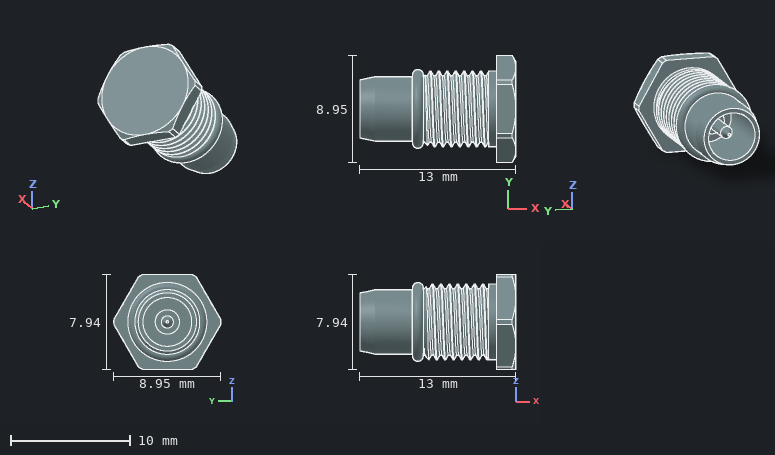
import cadquery as cq
import math

LENGTH = 13.0

SLEEVE_RADIUS = 5.41 / 2
TIP_RADIUS = 4.86 / 2
TIP_TAPER_LENGTH = 1.3
BORE_RADIUS = 4.07 / 2
BORE_DEPTH = 6.5

CONTACT_BASE_RADIUS = 2.03 / 2
CONTACT_BASE_LENGTH = 1.3
CONTACT_RADIUS = 1.01 / 2
CONTACT_POINT_RADIUS = 0.1
CONTACT_POINT_LENGTH = 0.78
CONTACT_START = 0.7

RING_INNER_RADIUS = 4.77 / 2
RING_SECTION_RADIUS = 0.45
RING_CENTRE_RADIUS = RING_INNER_RADIUS + RING_SECTION_RADIUS
GROOVE_START = 4.35
GROOVE_END = 5.29
RING_X = GROOVE_END - RING_SECTION_RADIUS

HEAD_THICKNESS = 1.62
HEAD_START = LENGTH - HEAD_THICKNESS
ACROSS_FLATS = 7.94
HEAD_CORNER_RADIUS = 8.95 / 2
HEAD_CHAMFER_LENGTH = 0.3
HEAD_FACE_RADIUS = ACROSS_FLATS / 2
COLLAR_LENGTH = 0.65
COLLAR_START = HEAD_START - COLLAR_LENGTH

THREAD_RADIUS = 6.35 / 2
THREAD_PITCH = 0.7
THREAD_DEPTH = 0.39
THREAD_CREST_WIDTH = 0.08
THREAD_FLANK_ANGLE = 30.0
THREAD_CREST_X = 6.06
LEAD_TURNS = 2
CUT_CLEARANCE = 0.03
ROD_OVERRUN = 2.6


def cylinder(start, end, radius):
    return cq.Workplane("YZ", origin=(start, 0, 0)).circle(radius).extrude(end - start)


def revolve_about_x(points):
    """Revolve a closed outline of (x, radius) points about the X axis."""
    return cq.Workplane("XY").polyline(points).close().revolve(360, (0, 0, 0), (1, 0, 0))


def make_sleeve():
    return revolve_about_x([
        (0, 0),
        (0, TIP_RADIUS),
        (TIP_TAPER_LENGTH, SLEEVE_RADIUS),
        (GROOVE_START, SLEEVE_RADIUS),
        (GROOVE_START, RING_INNER_RADIUS),
        (GROOVE_END, RING_INNER_RADIUS),
        (GROOVE_END, 0),
    ])


def make_thread_cutter():
    """Sweep the trapezoidal thread space along a helix that overruns both ends."""
    flank_slope = math.tan(math.radians(THREAD_FLANK_ANGLE))
    root_radius = THREAD_RADIUS - THREAD_DEPTH
    outer_radius = THREAD_RADIUS + CUT_CLEARANCE
    top_half_width = (THREAD_PITCH - THREAD_CREST_WIDTH) / 2
    root_half_width = top_half_width - THREAD_DEPTH * flank_slope
    outer_half_width = top_half_width + CUT_CLEARANCE * flank_slope
    start_x = THREAD_CREST_X - (LEAD_TURNS + 0.5) * THREAD_PITCH
    turns = math.ceil((COLLAR_START - start_x) / THREAD_PITCH) + 1
    helix = cq.Wire.makeHelix(THREAD_PITCH, turns * THREAD_PITCH, root_radius)
    cutter = (
        cq.Workplane("XZ")
        .polyline([
            (root_radius, -root_half_width),
            (outer_radius, -outer_half_width),
            (outer_radius, outer_half_width),
            (root_radius, root_half_width),
        ])
        .close()
        .sweep(cq.Workplane(helix), isFrenet=True)
    )
    cutter = cutter.rotate((0, 0, 0), (0, 1, 0), 90)
    cutter = cutter.rotate((0, 0, 0), (1, 0, 0), 180)
    return cutter.translate((start_x, 0, 0))


def make_threaded_shank():
    """Thread an overlong rod, then trim it to the shank with its conical lead-in."""
    rod = cylinder(GROOVE_END - ROD_OVERRUN, COLLAR_START + ROD_OVERRUN, THREAD_RADIUS)
    threaded_rod = rod.cut(make_thread_cutter(), clean=False)
    lead_in_length = THREAD_RADIUS - SLEEVE_RADIUS
    envelope = revolve_about_x([
        (GROOVE_END, 0),
        (GROOVE_END, SLEEVE_RADIUS),
        (GROOVE_END + lead_in_length, THREAD_RADIUS),
        (COLLAR_START, THREAD_RADIUS),
        (COLLAR_START, 0),
    ])
    return threaded_rod.intersect(envelope, clean=False)


def make_head():
    """Hexagon with flats on +Z and -Z, its corners turned round and its end chamfered."""
    across_corners = ACROSS_FLATS / math.cos(math.pi / 6)
    head_plane = cq.Workplane("YZ", origin=(HEAD_START, 0, 0))
    hexagon = head_plane.polygon(6, across_corners).extrude(HEAD_THICKNESS)
    turned_envelope = revolve_about_x([
        (HEAD_START, 0),
        (HEAD_START, HEAD_CORNER_RADIUS),
        (LENGTH - HEAD_CHAMFER_LENGTH, HEAD_CORNER_RADIUS),
        (LENGTH, HEAD_FACE_RADIUS),
        (LENGTH, 0),
    ])
    return hexagon.intersect(turned_envelope)


def make_contact():
    base_start = BORE_DEPTH - CONTACT_BASE_LENGTH
    return revolve_about_x([
        (CONTACT_START, 0),
        (CONTACT_START, CONTACT_POINT_RADIUS),
        (CONTACT_START + CONTACT_POINT_LENGTH, CONTACT_RADIUS),
        (base_start, CONTACT_RADIUS),
        (base_start, CONTACT_BASE_RADIUS),
        (BORE_DEPTH, CONTACT_BASE_RADIUS),
        (BORE_DEPTH, 0),
    ])


def make_housing():
    collar = cylinder(COLLAR_START, HEAD_START, THREAD_RADIUS)
    housing = make_sleeve().union(make_threaded_shank()).union(collar).union(make_head())
    housing = housing.cut(cylinder(0, BORE_DEPTH, BORE_RADIUS))
    return housing.union(make_contact())


def make_sealing_ring():
    return (
        cq.Workplane("XY")
        .center(RING_X, RING_CENTRE_RADIUS)
        .circle(RING_SECTION_RADIUS)
        .revolve(360, (0, -RING_CENTRE_RADIUS, 0), (1, -RING_CENTRE_RADIUS, 0))
    )


housing = make_housing()
sealing_ring = make_sealing_ring()
result = cq.Compound.makeCompound([housing.solids().val(), sealing_ring.val()])